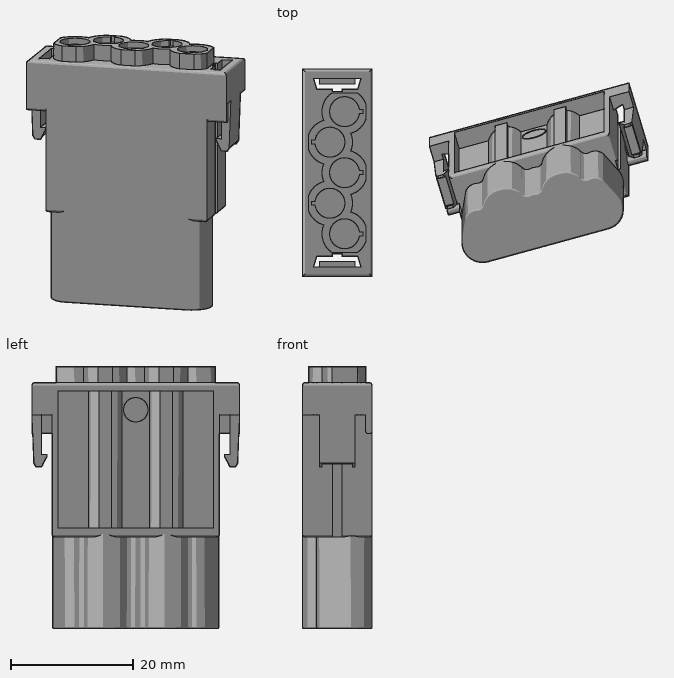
import cadquery as cq
import math

THICKNESS = 11.4
LENGTH = 34.0
HEIGHT = 42.9
HALF_X = THICKNESS / 2
HALF_Y = LENGTH / 2

PLUG_TOP = 15.0
COLLAR_HEIGHT = 2.6
HEAD_TOP = HEIGHT - COLLAR_HEIGHT
HEAD_BOTTOM = 35.0
BODY_HALF_Y = 13.7
EDGE_RADIUS = 0.5

PITCH = 5.0
STAGGER = 1.2
CONTACTS = [(STAGGER if n % 2 == 0 else -STAGGER, n * PITCH) for n in range(-2, 3)]

COLLAR_RADIUS = 3.7
COLLAR_HALF_X = 4.7
COLLAR_HALF_Y = 13.05
BORE_RADIUS = 2.45
BORE_DEPTH = 1.0
KEYWAY_WIDTH = 0.65
KEYWAY_REACH = 3.05

LOBE_RADIUS = 3.42
LOBE_FLAT_HALF = 0.29
RIDGE_X = -3.42
RIDGE_RADIUS = 2.1
GROOVE_RADIUS = 1.05
BEVEL_START_Y = -11.73
BEVEL_END = (0.9, -13.3)
PLUG_EDGE_RADIUS = 0.25

RECESS_HALF_Y = 12.75
RECESS_BOTTOM = 16.5
RECESS_TOP = 38.9
RECESS_DEPTH = 2.9
SLEEVE_RADIUS = 3.2
RIB_WIDTH = 2.0
RIB_SETBACK = 0.75
DISC_DIAMETER = 4.0
DISC_DEPTH = 0.1
DISC_Z = 35.85

LATCH_INNER_Y = 15.4
LATCH_HALF_X = 2.94
LATCH_BOTTOM = 26.5
LATCH_TAPER = 0.3
LATCH_TIP_CHAMFER_Y = 0.35
LATCH_TIP_CHAMFER_Z = 0.6
HOOK_TIP_Y = 14.5
HOOK_TOP = 28.55
HOOK_LIP = 0.3
NOTCH_HALF_X = 2.47
NOTCH_HEIGHT = 0.45
WINDOW_HALF_X_OUTER = 3.85
WINDOW_HALF_X_INNER = 3.35
GROOVE_WIDTH = 1.6
GROOVE_DEPTH = 0.4

STRIP_WIDTH = 1.05
STRIP_BOTTOM = 31.95
STRIP_RADIUS = 0.4


def box(x0, x1, y0, y1, z0, z1):
    return cq.Workplane("XY").box(x1 - x0, y1 - y0, z1 - z0, centered=False).translate((x0, y0, z0))


def cylinder(x, y, radius, z0, z1):
    return cq.Workplane("XY", origin=(x, y, z0)).circle(radius).extrude(z1 - z0)


def both_ends(feature):
    """A feature at the -Y end together with its mirror image at the +Y end."""
    return feature.union(feature.mirror("XZ"))


def make_head_and_body():
    head = box(-HALF_X, HALF_X, -HALF_Y, HALF_Y, HEAD_BOTTOM, HEAD_TOP)
    head = head.faces(">Z").edges().fillet(EDGE_RADIUS)
    body = box(-HALF_X, HALF_X, -BODY_HALF_Y, BODY_HALF_Y, PLUG_TOP, HEAD_BOTTOM)
    body = body.faces("<Z").edges().fillet(EDGE_RADIUS)
    return head.union(body)


def toward(start, end, distance):
    """The point at a distance from start on the way to end."""
    share = distance / math.dist(start, end)
    return (start[0] + share * (end[0] - start[0]), start[1] + share * (end[1] - start[1]))


def groove_ends(ridge_y, lobe_y):
    """Where the groove arc touches the ridge arc and the lobe arc, tangent to both."""
    ridge_centre = (RIDGE_X + RIDGE_RADIUS, ridge_y)
    lobe_centre = (-HALF_X + LOBE_RADIUS, lobe_y)
    to_ridge = RIDGE_RADIUS + GROOVE_RADIUS
    to_lobe = LOBE_RADIUS + GROOVE_RADIUS
    between = math.dist(ridge_centre, lobe_centre)
    along = (to_ridge**2 - to_lobe**2 + between**2) / (2 * between)
    across = math.sqrt(to_ridge**2 - along**2)
    foot = toward(ridge_centre, lobe_centre, along)
    offset = across / between
    groove_centre = (
        foot[0] - offset * abs(lobe_centre[1] - ridge_y),
        foot[1] + math.copysign(offset, lobe_y - ridge_y) * (lobe_centre[0] - ridge_centre[0]),
    )
    return toward(ridge_centre, groove_centre, RIDGE_RADIUS), toward(lobe_centre, groove_centre, LOBE_RADIUS)


def make_plug():
    """Plug with two lobes and rounded ridges between them on its -X side, drawn as one half and mirrored."""
    corner_y = -2 * PITCH
    lobe_start_y = -PITCH + LOBE_FLAT_HALF
    lobe_end_y = -PITCH - LOBE_FLAT_HALF
    ridge_edge, lobe_edge = groove_ends(0, lobe_start_y)
    corner_edge, lobe_far_edge = groove_ends(corner_y, lobe_end_y)
    bevel_rise = corner_y - BEVEL_START_Y
    bevel_start = (RIDGE_X + RIDGE_RADIUS - math.sqrt(RIDGE_RADIUS**2 - bevel_rise**2), BEVEL_START_Y)
    bevel_angle = math.atan2(bevel_start[1] - BEVEL_END[1], BEVEL_END[0] - bevel_start[0])
    end_radius = (HALF_X - BEVEL_END[0]) / (1 + math.sin(bevel_angle))
    end_round_y = BEVEL_END[1] + end_radius * math.cos(bevel_angle)
    half = (
        cq.Workplane("XY")
        .moveTo(HALF_X, 0)
        .lineTo(RIDGE_X, 0)
        .radiusArc(ridge_edge, -RIDGE_RADIUS)
        .radiusArc(lobe_edge, GROOVE_RADIUS)
        .radiusArc((-HALF_X, lobe_start_y), -LOBE_RADIUS)
        .lineTo(-HALF_X, lobe_end_y)
        .radiusArc(lobe_far_edge, -LOBE_RADIUS)
        .radiusArc(corner_edge, GROOVE_RADIUS)
        .threePointArc((RIDGE_X, corner_y), bevel_start)
        .lineTo(*BEVEL_END)
        .tangentArcPoint((HALF_X, end_round_y), relative=False)
        .close()
        .extrude(PLUG_TOP + EDGE_RADIUS)
    )
    return both_ends(half).faces("<Z").edges().fillet(PLUG_EDGE_RADIUS)


def make_collar():
    collar = cq.Workplane("XY")
    for x, y in CONTACTS:
        collar = collar.union(cylinder(x, y, COLLAR_RADIUS, HEAD_TOP, HEIGHT))
    limits = box(-COLLAR_HALF_X, COLLAR_HALF_X, -COLLAR_HALF_Y, COLLAR_HALF_Y, HEAD_TOP, HEIGHT)
    return collar.intersect(limits)


def make_bores():
    """Contact bores, each with a keyway pointing away from the YZ plane."""
    bores = cq.Workplane("XY")
    floor = HEIGHT - BORE_DEPTH
    for x, y in CONTACTS:
        keyway_x = x + math.copysign(KEYWAY_REACH, x)
        half_width = KEYWAY_WIDTH / 2
        keyway = box(min(x, keyway_x), max(x, keyway_x), y - half_width, y + half_width, floor, HEIGHT)
        bores = bores.union(cylinder(x, y, BORE_RADIUS, floor, HEIGHT)).union(keyway)
    return bores


def make_recess():
    """Side recess that leaves the contact sleeves and their ribs standing, with a shallow disc mark."""
    floor_x = -HALF_X + RECESS_DEPTH
    recess = box(-HALF_X, floor_x, -RECESS_HALF_Y, RECESS_HALF_Y, RECESS_BOTTOM, RECESS_TOP)
    for x, y in CONTACTS:
        if x < 0:
            sleeve = cylinder(x, y, SLEEVE_RADIUS, RECESS_BOTTOM, RECESS_TOP)
            rib = box(
                -HALF_X + RIB_SETBACK, floor_x,
                y - RIB_WIDTH / 2, y + RIB_WIDTH / 2,
                RECESS_BOTTOM, RECESS_TOP,
            )
            recess = recess.cut(sleeve).cut(rib)
    disc = cq.Workplane("YZ", origin=(floor_x, 0, DISC_Z)).circle(DISC_DIAMETER / 2).extrude(DISC_DEPTH)
    return recess.union(disc)


def make_latch():
    outer_bottom_y = HALF_Y - LATCH_TAPER
    profile = [
        (-HALF_Y, HEAD_BOTTOM),
        (-outer_bottom_y, LATCH_BOTTOM + LATCH_TIP_CHAMFER_Z),
        (-outer_bottom_y + LATCH_TIP_CHAMFER_Y, LATCH_BOTTOM),
        (-LATCH_INNER_Y, LATCH_BOTTOM),
        (-HOOK_TIP_Y, HOOK_TOP - HOOK_LIP),
        (-HOOK_TIP_Y, HOOK_TOP),
        (-LATCH_INNER_Y, HOOK_TOP),
        (-LATCH_INNER_Y, HEAD_BOTTOM),
    ]
    latch = cq.Workplane("YZ").polyline(profile).close().extrude(LATCH_HALF_X, both=True)
    notch = box(
        -NOTCH_HALF_X, NOTCH_HALF_X,
        -HALF_Y, -HOOK_TIP_Y,
        LATCH_BOTTOM, LATCH_BOTTOM + NOTCH_HEIGHT,
    )
    return latch.cut(notch)


def make_latch_window():
    window = [
        (-WINDOW_HALF_X_OUTER, -LATCH_INNER_Y),
        (WINDOW_HALF_X_OUTER, -LATCH_INNER_Y),
        (WINDOW_HALF_X_INNER, -BODY_HALF_Y),
        (-WINDOW_HALF_X_INNER, -BODY_HALF_Y),
    ]
    opening = cq.Workplane("XY", origin=(0, 0, HEAD_BOTTOM)).polyline(window).close()
    return opening.extrude(HEAD_TOP - HEAD_BOTTOM)


def make_end_groove():
    half_width = GROOVE_WIDTH / 2
    return box(-half_width, half_width, -BODY_HALF_Y, -BODY_HALF_Y + GROOVE_DEPTH, PLUG_TOP, HEAD_TOP)


def make_guide_strip():
    strip = box(HALF_X - STRIP_WIDTH, HALF_X, -HALF_Y, -BODY_HALF_Y, STRIP_BOTTOM, HEAD_BOTTOM)
    return strip.faces("<Z").edges("|Y").fillet(STRIP_RADIUS)


result = (
    make_head_and_body()
    .cut(both_ends(make_end_groove()))
    .union(make_plug())
    .cut(make_recess())
    .cut(both_ends(make_latch_window()))
    .union(both_ends(make_latch()))
    .union(both_ends(make_guide_strip()))
    .union(make_collar())
    .cut(make_bores())
)